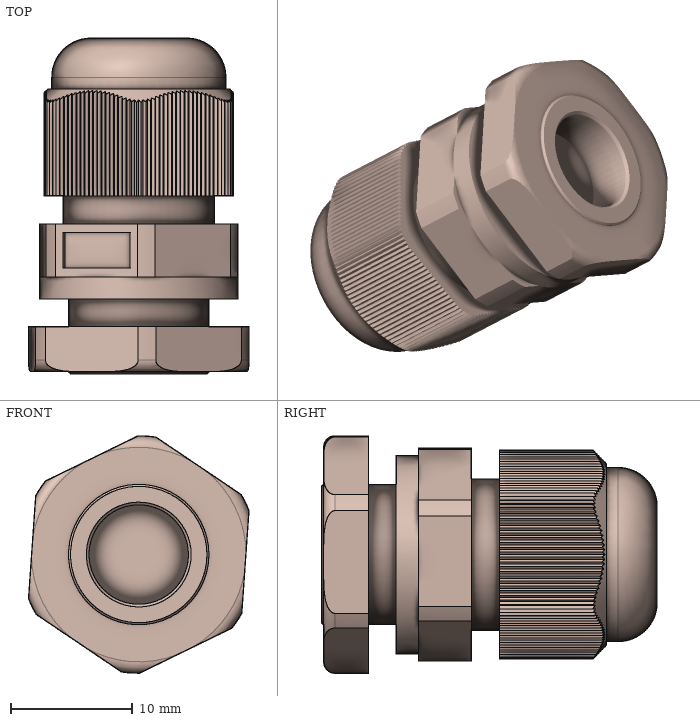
import cadquery as cq
import math


nut_front = 0.2
nut_back = 3.9
washer_front = 6.19
body_front = 8.02
body_back = 12.4
cap_front = 14.7
cap_back = 23.55
total_length = 27.75

tube_diameter = 11.6
tube_chamfer = 0.17
bore_diameter = 8.2
bore_depth = 4.0
bore_chamfer = 0.22
washer_diameter = 16.4
neck_diameter = 12.5
dome_diameter = 14.4
dome_radius = 3.25

hex_tilt = 4.0
nut_across_flats = 17.67
nut_corner_diameter = 19.6
nut_rounding = 0.95
body_across_flats = 15.9
body_corner_diameter = 17.6

window_face_angle = 120.0 - hex_tilt
window_width = 6.13
window_length = 2.95
window_depth = 0.3

cap_across_flats = 15.65
cap_corner_diameter = 17.25
cap_chamfer = 1.15
teeth_per_side = 22


def cylinder(diameter, y_start, y_end):
    """Cylinder on the Y axis between two stations."""
    return cq.Workplane("XZ", origin=(0, y_start, 0)).circle(diameter / 2).extrude(y_start - y_end)


def hexagon(across_flats, corner_diameter, y_start, y_end):
    """Tilted hexagonal prism, its corners cut back to a circle."""
    prism = (
        cq.Workplane("XZ", origin=(0, y_start, 0))
        .polygon(6, across_flats / math.cos(math.pi / 6))
        .extrude(y_start - y_end)
        .rotate((0, 0, 0), (0, 1, 0), hex_tilt - 30)
    )
    return prism.intersect(cylinder(corner_diameter, y_start, y_end))


def make_tube():
    """Threaded tube end with a chamfered mouth, the washer behind it and the neck under the cap."""
    tube = cylinder(tube_diameter, 0, body_front).faces("<Y").chamfer(tube_chamfer)
    neck = cylinder(neck_diameter, body_back, cap_front)
    washer = cylinder(washer_diameter, washer_front, body_front)
    return tube.union(washer).union(neck)


def make_nut():
    """Locknut with the front of its corners rounded over."""
    nut = hexagon(nut_across_flats, nut_corner_diameter, nut_front, nut_back)
    rounded = cylinder(nut_corner_diameter, nut_front, nut_back).faces("<Y").edges().fillet(nut_rounding)
    return nut.intersect(rounded)


def make_body():
    """Hexagonal body with a window sunk into one flat."""
    body = hexagon(body_across_flats, body_corner_diameter, body_front, body_back)
    window = (
        cq.Workplane("XY")
        .box(2 * window_depth, window_length, window_width)
        .translate((body_across_flats / 2, (body_front + body_back) / 2, 0))
        .rotate((0, 0, 0), (0, 1, 0), -window_face_angle)
    )
    return body.cut(window)


def cap_outline():
    """Toothed outline as X, Z points: tips on a rounded hexagon, valleys half a pitch deeper."""
    half_flats = cap_across_flats / 2
    secant = 1 / math.cos(math.pi / 6)
    corner_radius = (half_flats * secant - cap_corner_diameter / 2) / (secant - 1)
    half_straight = (half_flats - corner_radius) * math.tan(math.pi / 6)
    half_side = half_straight + corner_radius * math.pi / 6
    pitch = 2 * half_side / teeth_per_side
    points = []
    for side in range(6):
        for step in range(2 * teeth_per_side):
            along = step * pitch / 2
            turn = max(along - half_straight, 0) / corner_radius
            depth = pitch / 2 if step % 2 == 0 else 0
            radius = corner_radius - depth
            if along < half_straight:
                u, v = half_flats - depth, along
            elif turn < math.pi / 3:
                u = half_flats - corner_radius + radius * math.cos(turn)
                v = half_straight + radius * math.sin(turn)
            else:
                remaining = 2 * half_side - along
                u = (half_flats - depth) / 2 + remaining * math.sin(math.pi / 3)
                v = (half_flats - depth) * math.sin(math.pi / 3) - remaining / 2
            angle = side * math.pi / 3
            x = u * math.cos(angle) - v * math.sin(angle)
            z = u * math.sin(angle) + v * math.cos(angle)
            points.append((x, z))
    return points


def make_cap():
    """Toothed nut section with a conical back edge, topped by the dome."""
    grip = (
        cq.Workplane("XZ", origin=(0, cap_front, 0))
        .polyline(cap_outline())
        .close()
        .extrude(cap_front - cap_back)
    )
    cone = cylinder(cap_corner_diameter, cap_front, cap_back).faces(">Y").chamfer(cap_chamfer)
    dome = cylinder(dome_diameter, cap_back, total_length).faces(">Y").edges().fillet(dome_radius)
    return grip.intersect(cone).union(dome)


def make_bore():
    """Blind bore from the tube mouth, with a chamfered rim."""
    rim = bore_diameter / 2 + bore_chamfer
    profile = [
        (0, 0),
        (rim, 0),
        (bore_diameter / 2, bore_chamfer),
        (bore_diameter / 2, bore_depth),
        (0, bore_depth),
    ]
    return cq.Workplane("XY").polyline(profile).close().revolve(360, (0, 0, 0), (0, 1, 0))


result = make_tube().union(make_nut()).union(make_body()).union(make_cap()).cut(make_bore())